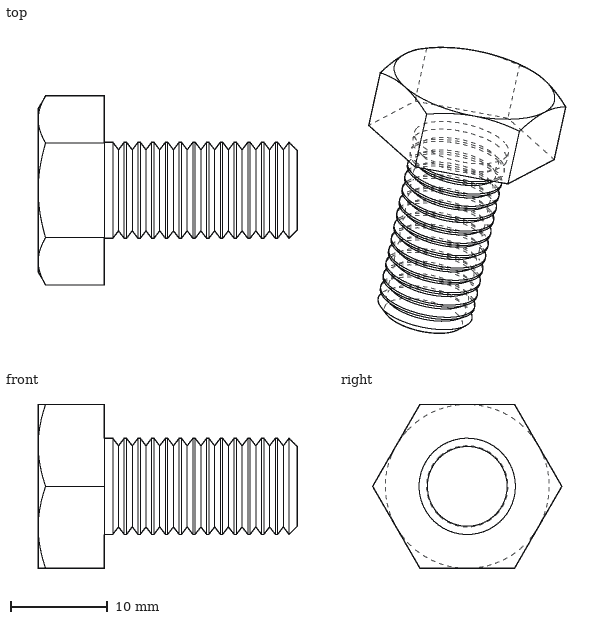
import cadquery as cq
import math

total_length = 26.85
shank_length = 20.0
head_height = total_length - shank_length
across_flats = 17.0
across_corners = across_flats / math.cos(math.radians(30))
head_chamfer_angle = 30.0

thread_diameter = 10.0
groove_depth = 0.78
groove_width = 1.18
crest_width = 0.25
pitch = groove_width + crest_width
groove_count = 13
end_chamfer = 0.85

shank_radius = thread_diameter / 2
root_radius = shank_radius - groove_depth
shank_end = total_length / 2
head_top = -total_length / 2
head_seat = head_top + head_height
last_groove_center = shank_end - end_chamfer - groove_width / 2


def revolve_about_x(points):
    """Revolve a closed (x, radius) outline about the bolt axis."""
    return cq.Workplane("XY").polyline(points).close().revolve(360, (0, 0, 0), (1, 0, 0))


def make_head():
    """Hexagon with corners on +Y and -Y, its outer face trimmed by a cone."""
    hexagon = cq.Workplane("YZ", origin=(head_top, 0, 0)).polygon(6, across_corners).extrude(head_height)
    face_radius = across_flats / 2
    cone_radius = face_radius + head_height / math.tan(math.radians(head_chamfer_angle))
    cone = revolve_about_x([
        (head_top, 0),
        (head_top, face_radius),
        (head_seat, cone_radius),
        (head_seat, 0),
    ])
    return hexagon.intersect(cone)


def make_shank():
    """Shank with V grooves and a chamfered tip."""
    outline = [(head_seat, 0), (head_seat, shank_radius)]
    for index in range(groove_count):
        center = last_groove_center - (groove_count - 1 - index) * pitch
        outline += [
            (center - groove_width / 2, shank_radius),
            (center, root_radius),
            (center + groove_width / 2, shank_radius),
        ]
    outline += [(shank_end, shank_radius - end_chamfer), (shank_end, 0)]
    return revolve_about_x(outline)


result = make_head().union(make_shank())